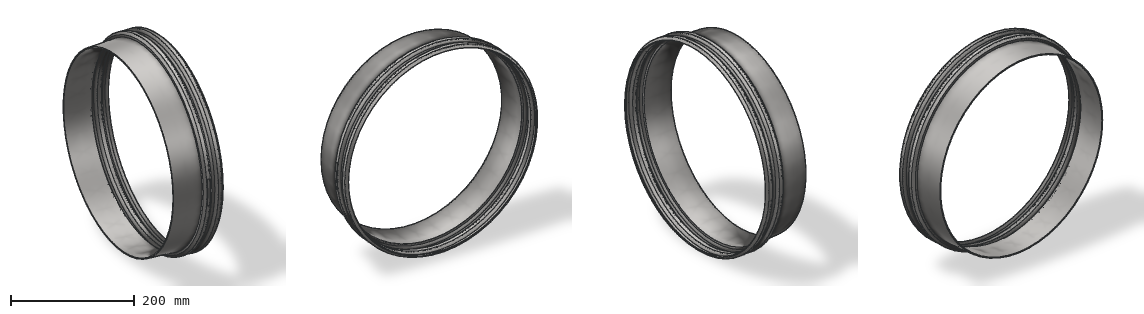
import cadquery as cq
import math

length = 89.0
overall_width = 376.5
pad_rise = 0.5
bead_height = 4.33
flank_length = 4.5
crest_length = 6.8
groove_length = 5.5
wall = 2.07
skirt_drop = 4.0
skirt_taper = 2.5
pad_length = 4.5
pad_height = 49.0

crest_radius = (overall_width - pad_rise) / 2
groove_radius = crest_radius - bead_height
skirt_root_radius = groove_radius - skirt_drop
skirt_tip_radius = skirt_root_radius - skirt_taper
bead_length = crest_length + 2 * flank_length
bead_starts = [0, bead_length + groove_length]
shoulder = bead_starts[-1] + bead_length
half_length = length / 2

flank_angle = math.atan2(bead_height, flank_length)
corner_shift = wall * math.tan(flank_angle / 2)


def bead_points(start, inset, shift):
    """Corners of one bead as (radius, distance from the back end)."""
    crest_start = start + flank_length
    crest_end = crest_start + crest_length
    return [
        (groove_radius - inset, start + shift),
        (crest_radius - inset, crest_start + shift),
        (crest_radius - inset, crest_end - shift),
        (groove_radius - inset, start + bead_length - shift),
    ]


def corrugation(inset, shift):
    """Corners of all beads in order from the back end."""
    return [point for start in bead_starts for point in bead_points(start, inset, shift)]


def make_collar():
    outer_side = corrugation(0, 0)
    outer_side += [(skirt_root_radius, shoulder), (skirt_tip_radius, length)]

    back_edge = (
        groove_radius - wall * math.cos(flank_angle),
        wall * math.sin(flank_angle),
    )
    inner_side = [back_edge] + corrugation(wall, corner_shift)[1:-1]
    inner_side += [
        (groove_radius - wall, shoulder - wall),
        (skirt_root_radius - wall, shoulder - wall),
        (skirt_tip_radius - wall, length),
    ]

    corners = outer_side + inner_side[::-1]
    profile = [(radius, half_length - distance) for radius, distance in corners]
    return cq.Workplane("XY").polyline(profile).close().revolve(360, (0, 0, 0), (0, 1, 0))


def make_pad():
    """Thin pad following the crest of the front bead on the +X side."""
    crest_middle = half_length - (bead_starts[-1] + bead_length / 2)
    band = (
        cq.Workplane("XZ", origin=(0, crest_middle, 0))
        .circle(crest_radius + pad_rise)
        .circle(crest_radius - wall / 2)
        .extrude(pad_length / 2, both=True)
    )
    window = cq.Workplane("XY").box(overall_width, length, pad_height, centered=(False, True, True))
    return band.intersect(window)


result = make_collar().union(make_pad())